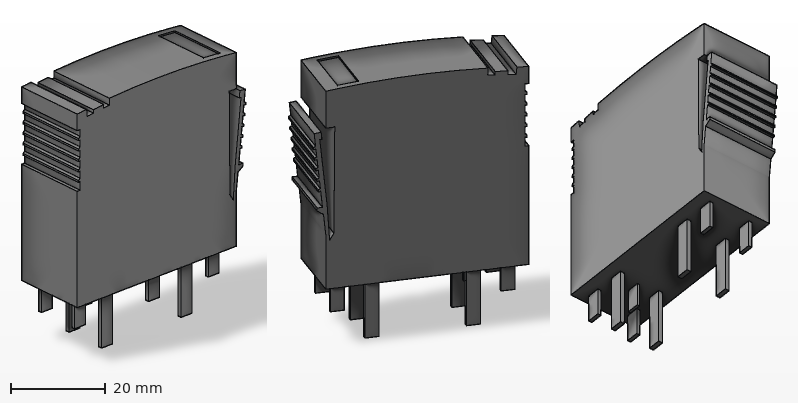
import cadquery as cq
import math

WIDTH = 17.7
DEPTH = 45.0
FRONT_TOP = 45.45

RIDGE_BACK = 2.65
RIDGE_TOP = 45.7
FRONT_GROOVE_START = 2.85
FRONT_GROOVE_END = 4.6
FRONT_GROOVE_FLOOR = 44.0
LAND_FRONT_TOP = 45.0
LAND_BACK_TOP = 45.3
BACK_GROOVE_START = 7.5
BACK_GROOVE_FLOOR = 44.45
GROOVE_RISE = 0.2

CREST_HEIGHT = 46.68
ARCH_RADIUS = 212.0
ARCH_FRONT_END = 9.1
ARCH_FACE_COUNT = 4
ARCH_FACE_LENGTH = (DEPTH - 2 * ARCH_FRONT_END) / ARCH_FACE_COUNT
ARCH_BACK_EDGE = 42.15

LABEL_WIDTH = 14.4
LABEL_FRONT = 37.2
LABEL_BACK = 41.9
LABEL_DEPTH = 0.4
LABEL_CLEARANCE = 1.0

RIB_COUNT = 5
RIB_PITCH = 2.46
RIB_HEIGHT = 0.85
RIB_TIP_HEIGHT = 0.45
GRIP_TOP = 41.55
GRIP_BOTTOM = 27.3
GRIP_DEPTH = 0.85
GRIP_RIB_REACH = 0.45
GRIP_FIRST_RIB_BOTTOM = 39.1

NOTCH_TOP = 37.0
NOTCH_DEPTH = 2.0
SLOT_WALL_BOTTOM = 12.65
SLOT_WALL_BOTTOM_Y = 43.2
SLOT_ROOT = (44.15, 11.15)
ARM_BEND = (44.69, 19.2)
ARM_LEAN = 0.107
ARM_THICKNESS = 1.06
ARM_ROOT_Z = 12.6
HEAD_BOTTOM = 34.5
HEAD_HEIGHT = 1.65
HEAD_REACH = 0.48
LATCH_TOOTH_REACH = 0.55
TOOTH_EMBED = 0.1
LATCH_FIRST_TOOTH_BOTTOM = 32.4
HOOK_TIP_Y = 46.9
HOOK_TOP = 18.9
HOOK_TIP_BOTTOM = 18.2
HOOK_BASE = (45.5, 17.2)

PIN_WIDTH = 3.1
LONG_PIN_LENGTH = 13.75
LONG_PIN_THICKNESS = 1.05
LONG_PIN_FRONTS = (9.7, 32.2)
SHORT_PIN_LENGTH = 6.75
SHORT_PIN_THICKNESS = 0.85
SHORT_PIN_FRONTS = (2.05, 39.87)
PIN_ROW_OUTER_X = 5.7
CODING_PIN_LENGTH = 5.75
CODING_PIN_THICKNESS = 0.62
CODING_PIN_FRONT = 8.7


def arch_point(y):
    """Point of the arched top at depth y."""
    offset = y - DEPTH / 2
    drop = ARCH_RADIUS - math.sqrt(ARCH_RADIUS**2 - offset**2)
    return (y, CREST_HEIGHT - drop)


def arm_inner_y(z):
    """Inner face of the latch arm above its bend."""
    bend_y, bend_z = ARM_BEND
    return bend_y + ARM_LEAN * (z - bend_z)


def arm_outer_y(z):
    """Outer face of the latch arm."""
    return arm_inner_y(z) + ARM_THICKNESS


def extrude_profile(points):
    """Closed Y-Z outline extruded across the full width, centred on X = 0."""
    return cq.Workplane("YZ").polyline(points).close().extrude(WIDTH / 2, both=True)


def make_body():
    arch = [arch_point(ARCH_FRONT_END + i * ARCH_FACE_LENGTH) for i in range(ARCH_FACE_COUNT + 1)]
    arch += [arch_point(ARCH_BACK_EDGE), arch_point(DEPTH)]
    front_steps = [
        (0, FRONT_TOP),
        (RIDGE_BACK, RIDGE_TOP),
        (FRONT_GROOVE_START, FRONT_GROOVE_FLOOR),
        (FRONT_GROOVE_END, FRONT_GROOVE_FLOOR + GROOVE_RISE),
        (FRONT_GROOVE_END, LAND_FRONT_TOP),
        (BACK_GROOVE_START, LAND_BACK_TOP),
        (BACK_GROOVE_START, BACK_GROOVE_FLOOR),
        (ARCH_FRONT_END, BACK_GROOVE_FLOOR + GROOVE_RISE),
    ]
    notch_y = DEPTH - NOTCH_DEPTH
    back = [
        (DEPTH, NOTCH_TOP),
        (notch_y, NOTCH_TOP),
        (SLOT_WALL_BOTTOM_Y, SLOT_WALL_BOTTOM),
        SLOT_ROOT,
        (DEPTH, ARM_ROOT_Z),
        (DEPTH, 0),
    ]
    grip = [
        (0, 0),
        (0, GRIP_BOTTOM),
        (GRIP_DEPTH, GRIP_BOTTOM),
        (GRIP_DEPTH, GRIP_TOP),
        (0, GRIP_TOP),
    ]
    return extrude_profile(grip + front_steps + arch + back)


def make_latch():
    heel_y = arm_inner_y(HEAD_BOTTOM)
    toe_y = heel_y - HEAD_REACH
    toe_z = HEAD_BOTTOM + ARM_LEAN * HEAD_REACH
    crown_y = toe_y + ARM_LEAN * HEAD_HEIGHT
    crown_z = toe_z + HEAD_HEIGHT
    head_length = HEAD_REACH + ARM_THICKNESS
    return extrude_profile([
        SLOT_ROOT,
        ARM_BEND,
        (heel_y, HEAD_BOTTOM),
        (toe_y, toe_z),
        (crown_y, crown_z),
        (crown_y + head_length, crown_z - ARM_LEAN * head_length),
        (arm_outer_y(HOOK_TOP), HOOK_TOP),
        (HOOK_TIP_Y, HOOK_TOP),
        (HOOK_TIP_Y, HOOK_TIP_BOTTOM),
        HOOK_BASE,
        (DEPTH, ARM_ROOT_Z),
    ])


def make_rib(base_y, tip_y, bottom):
    return extrude_profile([
        (base_y, bottom),
        (tip_y, bottom),
        (tip_y, bottom + RIB_TIP_HEIGHT),
        (base_y, bottom + RIB_HEIGHT),
    ])


def make_pin(center_x, front_y, thickness, length):
    return cq.Workplane("XY").box(
        thickness, PIN_WIDTH, length, centered=(True, False, False)
    ).translate((center_x, front_y, -length))


def make_label_cutter():
    y0, z0 = arch_point(LABEL_FRONT)
    y1, z1 = arch_point(LABEL_BACK)
    return (
        cq.Workplane("YZ")
        .polyline([
            (y0, z0 - LABEL_DEPTH),
            (y1, z1 - LABEL_DEPTH),
            (y1, z1 + LABEL_CLEARANCE),
            (y0, z0 + LABEL_CLEARANCE),
        ])
        .close()
        .extrude(LABEL_WIDTH / 2, both=True)
    )


def make_ribs():
    """Ribs of the front grip and matching teeth on the latch arm."""
    ribs = []
    for i in range(RIB_COUNT):
        rib_z = GRIP_FIRST_RIB_BOTTOM - i * RIB_PITCH
        ribs.append(make_rib(GRIP_DEPTH, GRIP_DEPTH - GRIP_RIB_REACH, rib_z))
        tooth_z = LATCH_FIRST_TOOTH_BOTTOM - i * RIB_PITCH
        outer = arm_outer_y(tooth_z)
        ribs.append(make_rib(outer - TOOTH_EMBED, outer + LATCH_TOOTH_REACH, tooth_z))
    return ribs


def make_pins():
    """Long and short pins in two mirrored rows, outer faces flush, and a central coding pin."""
    pins = [make_pin(0, CODING_PIN_FRONT, CODING_PIN_THICKNESS, CODING_PIN_LENGTH)]
    long_x = PIN_ROW_OUTER_X - LONG_PIN_THICKNESS / 2
    short_x = PIN_ROW_OUTER_X - SHORT_PIN_THICKNESS / 2
    for side in (-1, 1):
        for front_y in LONG_PIN_FRONTS:
            pins.append(make_pin(side * long_x, front_y, LONG_PIN_THICKNESS, LONG_PIN_LENGTH))
        for front_y in SHORT_PIN_FRONTS:
            pins.append(make_pin(side * short_x, front_y, SHORT_PIN_THICKNESS, SHORT_PIN_LENGTH))
    return pins


result = make_body().union(make_latch())
for addition in make_ribs() + make_pins():
    result = result.union(addition)
result = result.cut(make_label_cutter())